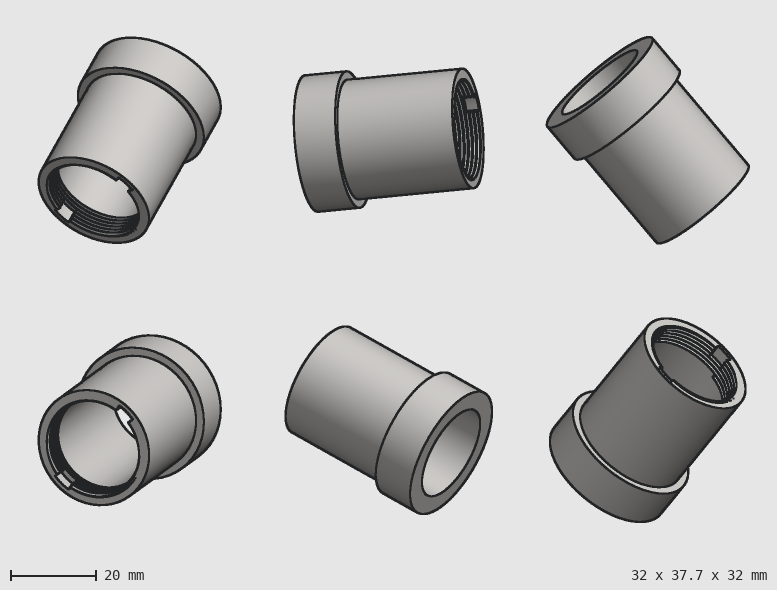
import cadquery as cq
import math

total_length = 37.7
flange_radius = 16.005
flange_length = 10.0
barrel_radius = 14.02
bore_radius = 11.35

thread_length = 6.0
thread_turns = 6
pitch = thread_length / thread_turns
turn_gap = 0.05
flank_angle = 30.0
groove_overlap = 0.05
lead_in = pitch
thread_end = thread_length - pitch / 2
thread_angle = 140.0
groove_half_width = (pitch - turn_gap) / 2
groove_height = groove_half_width / math.tan(math.radians(flank_angle))

slot_outer_radius = 12.8
slot_overlap = 0.2
upper_slot_depth = 3.0
lower_slot_depth = upper_slot_depth + pitch / 2
slot_span = 20.0
upper_slot_angle = -50.0


def make_body():
    barrel = cq.Workplane("XY").circle(barrel_radius).extrude(total_length)
    flange = (
        cq.Workplane("XY")
        .workplane(offset=total_length - flange_length)
        .circle(flange_radius)
        .extrude(flange_length)
    )
    bore = cq.Workplane("XY").circle(bore_radius).extrude(total_length)
    return barrel.union(flange).cut(bore)


def make_thread_groove():
    """V groove swept along a left-hand helix that starts outside the end face."""
    helix = cq.Wire.makeHelix(pitch, thread_end + lead_in, bore_radius, lefthand=True)
    base_radius = bore_radius - groove_overlap
    groove = (
        cq.Workplane("XZ")
        .polyline([
            (base_radius, -groove_half_width),
            (base_radius + groove_height, 0),
            (base_radius, groove_half_width),
        ])
        .close()
        .sweep(cq.Workplane(obj=helix), isFrenet=True)
    )
    return groove.translate((0, 0, -lead_in)).rotate((0, 0, 0), (0, 0, 1), thread_angle)


def make_slot(center_angle, depth):
    """Annular sector, opening into the bore, with radial side walls."""
    inner_radius = bore_radius - slot_overlap

    def point(radius, offset):
        angle = math.radians(center_angle + offset)
        return (radius * math.cos(angle), radius * math.sin(angle))

    half_span = slot_span / 2
    return (
        cq.Workplane("XY")
        .moveTo(*point(inner_radius, -half_span))
        .lineTo(*point(slot_outer_radius, -half_span))
        .threePointArc(point(slot_outer_radius, 0), point(slot_outer_radius, half_span))
        .lineTo(*point(inner_radius, half_span))
        .threePointArc(point(inner_radius, 0), point(inner_radius, -half_span))
        .close()
        .extrude(depth)
    )


body = make_body().cut(make_thread_groove())
body = body.cut(make_slot(upper_slot_angle, upper_slot_depth))
body = body.cut(make_slot(upper_slot_angle + 180, lower_slot_depth))

result = body.rotate((0, 0, 0), (1, 0, 0), -90)